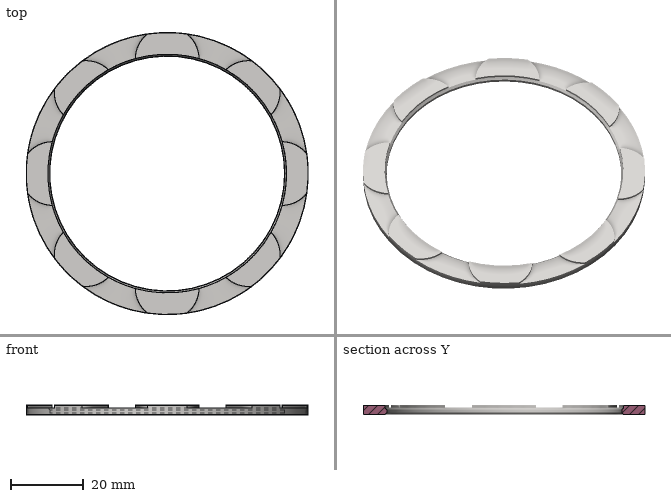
import cadquery as cq

outer_radius = 38.7
bore_radius = 32.2
base_height = 1.9

total_height = 2.6
pad_count = 8
pad_radius = 8.75
pad_center_radius = 31.45

bore_chamfer = 0.55


def ring(inner_radius, height):
    return cq.Workplane("XY").circle(outer_radius).circle(inner_radius).extrude(height)


def pads():
    """Round pads spaced evenly around the ring, trimmed to the ring's width."""
    discs = (
        cq.Workplane("XY")
        .polarArray(pad_center_radius, 0, 360, pad_count)
        .circle(pad_radius)
        .extrude(total_height)
    )
    return discs.intersect(ring(bore_radius + bore_chamfer, total_height))


base = ring(bore_radius, base_height)
bore_rims = base.faces("|Z").edges(cq.selectors.RadiusNthSelector(0))
base = bore_rims.chamfer(bore_chamfer)

result = base.union(pads())